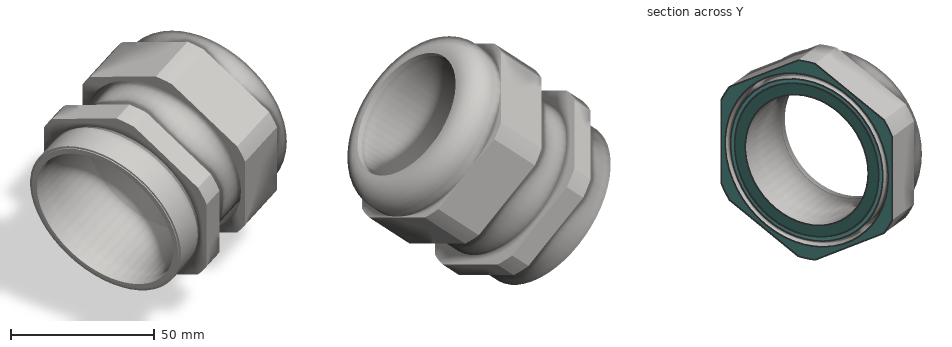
import cadquery as cq


TOTAL_LENGTH = 69.9
FLATS_WIDTH = 68.0

THREAD_DIAMETER = 63.0
THREAD_LENGTH = 11.1
THREAD_TIP_DIAMETER = 61.2
THREAD_TIP_LENGTH = 0.3
UNDERCUT_DIAMETER = 61.2
COLLAR_START = 12.9
COLLAR_LENGTH = 8.1
COLLAR_CORNER_DIAMETER = 74.7
NECK_DIAMETER = 60.6
BORE_DIAMETER = 57.0
BODY_LENGTH = 52.5

NUT_START = 37.25
NUT_HEX_LENGTH = 20.2
NUT_CORNER_DIAMETER = 75.0
DOME_DIAMETER = 67.5
DOME_RADIUS = 8.3
NUT_MOUTH_DIAMETER = 64.5
NUT_MOUTH_DEPTH = 13.5
NUT_OPENING_DIAMETER = 48.0
NUT_LIP_THICKNESS = 2.25

SEAL_START = 30.75
SEAL_TAPER_LENGTH = 7.5
SEAL_EXIT_DIAMETER = 48.5
SEAL_END = TOTAL_LENGTH - NUT_LIP_THICKNESS


def cylinder(diameter, start, end):
    """Solid cylinder on the Y axis between two stations."""
    return cq.Workplane("XZ", origin=(0, start, 0)).circle(diameter / 2).extrude(start - end)


def rounded_hexagon(corner_diameter, start, end):
    """Hexagonal prism with vertical side flats and corners turned to a cylinder."""
    slab_length = 2 * corner_diameter
    prism = cylinder(corner_diameter, start, end)
    for angle in (0, 60, 120):
        slab = (
            cq.Workplane("XY")
            .box(FLATS_WIDTH, end - start, slab_length)
            .translate((0, (start + end) / 2, 0))
            .rotate((0, 0, 0), (0, 1, 0), angle)
        )
        prism = prism.intersect(slab)
    return prism


def make_body():
    """Threaded tube with a hexagonal collar and a plain neck for the nut."""
    collar_end = COLLAR_START + COLLAR_LENGTH
    tip = cylinder(THREAD_TIP_DIAMETER, 0, THREAD_TIP_LENGTH)
    thread = cylinder(THREAD_DIAMETER, THREAD_TIP_LENGTH, THREAD_LENGTH)
    undercut = cylinder(UNDERCUT_DIAMETER, THREAD_LENGTH, COLLAR_START)
    collar = rounded_hexagon(COLLAR_CORNER_DIAMETER, COLLAR_START, collar_end)
    neck = cylinder(NECK_DIAMETER, collar_end, BODY_LENGTH)
    bore = cylinder(BORE_DIAMETER, 0, BODY_LENGTH)
    return tip.union(thread).union(undercut).union(collar).union(neck).cut(bore)


def make_nut():
    """Hexagonal nut with a domed end, a cavity for neck and seal, and a wider mouth."""
    hex_end = NUT_START + NUT_HEX_LENGTH
    hexagon = rounded_hexagon(NUT_CORNER_DIAMETER, NUT_START, hex_end)
    dome = cylinder(DOME_DIAMETER, NUT_START, TOTAL_LENGTH).faces(">Y").edges().fillet(DOME_RADIUS)
    mouth = cylinder(NUT_MOUTH_DIAMETER, NUT_START, NUT_START + NUT_MOUTH_DEPTH)
    cavity = cylinder(NECK_DIAMETER, NUT_START, SEAL_END)
    opening = cylinder(NUT_OPENING_DIAMETER, SEAL_END, TOTAL_LENGTH)
    return hexagon.union(dome).cut(mouth).cut(cavity).cut(opening)


def make_seal():
    """Ring seated in the body bore and flanged behind the neck, with a tapered bore entry."""
    profile = [
        (BORE_DIAMETER / 2, SEAL_START),
        (BORE_DIAMETER / 2, BODY_LENGTH),
        (NECK_DIAMETER / 2, BODY_LENGTH),
        (NECK_DIAMETER / 2, SEAL_END),
        (SEAL_EXIT_DIAMETER / 2, SEAL_END),
        (SEAL_EXIT_DIAMETER / 2, SEAL_START + SEAL_TAPER_LENGTH),
    ]
    return cq.Workplane("XY").polyline(profile).close().revolve(360, (0, 0), (0, 1))


body = make_body()
nut = make_nut()
seal = make_seal()

result = cq.Compound.makeCompound([body.val(), nut.val(), seal.val()])